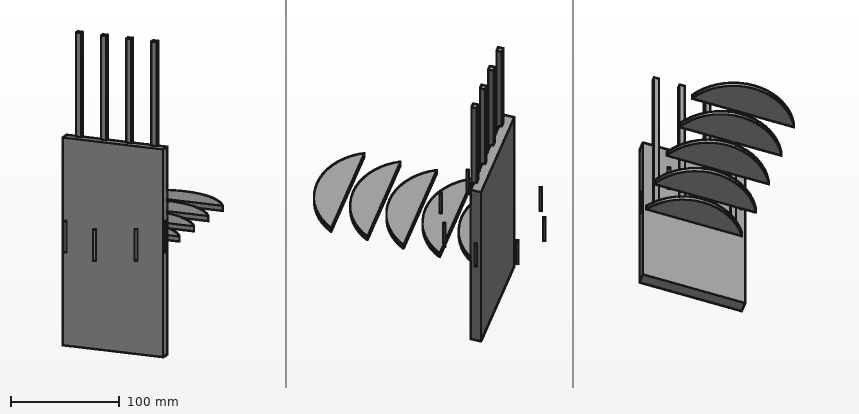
import cadquery as cq
import math

overall_height = 300.0
rod_diameter = 2.5
shelf_count = 5
rod_count = 8

panel_height = overall_height * 2 / 3
panel_width = panel_height / 2
panel_thickness = panel_width / 10

shelf_level = panel_height / 2
shelf_width = panel_width
shelf_depth = 30.0
shelf_thickness = panel_thickness / 2
shelf_gap = panel_thickness / 2
shelf_pitch = shelf_depth + shelf_gap

post_count = 4
post_size = panel_thickness / 2
post_pitch = panel_width / post_count
post_height = overall_height - shelf_level
post_center_y = panel_thickness / 2

rod_height = 30.0
rod_circle_radius = panel_width / 2


def make_shelf(index):
    """Shelf with a straight front edge and an arched rear edge."""
    half_width = shelf_width / 2
    return (
        cq.Workplane("XY", origin=(0, index * shelf_pitch, shelf_level))
        .moveTo(-half_width, 0)
        .lineTo(half_width, 0)
        .threePointArc((0, shelf_depth), (-half_width, 0))
        .close()
        .extrude(shelf_thickness)
    )


def make_rod(index):
    """Upright round rod; index counts anticlockwise from +X."""
    angle = index * 2 * math.pi / rod_count
    x = rod_circle_radius * math.cos(angle)
    y = rod_circle_radius * math.sin(angle)
    return cq.Workplane("XY", origin=(x, y, shelf_level)).circle(rod_diameter / 2).extrude(rod_height)


def make_post(index):
    """Square post rising from shelf level past the top of the panel."""
    x = (index - (post_count - 1) / 2) * post_pitch
    base = cq.Workplane("XY", origin=(x, post_center_y, shelf_level))
    return base.rect(post_size, post_size).extrude(post_height)


def make_panel():
    """Back panel in one piece with its posts, nearest shelf and two side rods."""
    panel = cq.Workplane("XY").rect(panel_width, panel_thickness).extrude(panel_height)
    panel = panel.union(make_shelf(0))
    for index in range(post_count):
        panel = panel.union(make_post(index))
    for index in (0, rod_count // 2):
        panel = panel.union(make_rod(index))
    return panel


def make_rodded_shelf():
    """Second shelf in one piece with the three rods of the rear half circle."""
    shelf = make_shelf(1)
    for index in range(1, rod_count // 2):
        shelf = shelf.union(make_rod(index))
    return shelf


panel = make_panel()
rodded_shelf = make_rodded_shelf()
plain_shelves = [make_shelf(index).val() for index in range(2, shelf_count)]
front_rods = [make_rod(index).val() for index in range(rod_count // 2 + 1, rod_count)]

result = cq.Compound.makeCompound([panel.val(), rodded_shelf.val(), *plain_shelves, *front_rods])